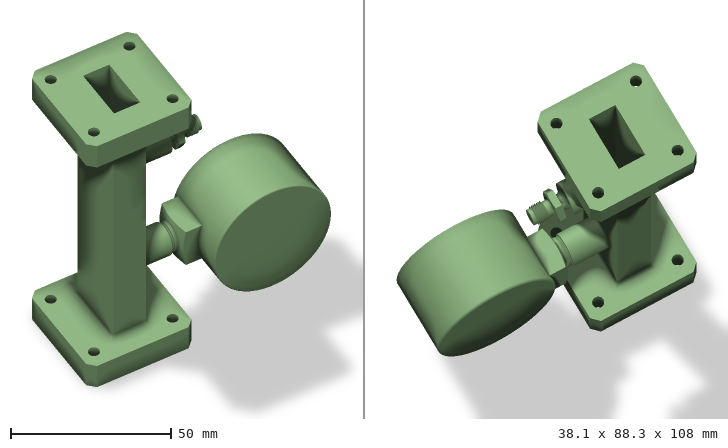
import cadquery as cq
import math


total_length = 108.0
flange_width = 38.1
flange_thickness = 9.5
flange_corner_cut = 2.5
bolt_spacing_x = 26.5
bolt_spacing_y = 28.5
bolt_hole_diameter = 3.8
tube_width = 21.6
tube_depth = 12.0
bore_width = 19.0
bore_depth = 9.5
flange_fillet = 1.1

stub_height = 22.9
stub_diameter = 11.3
stub_end_y = 18.7
stub_fillet = 0.6

valve_diameter = 5.4
valve_tip_y = 31.1
valve_thread_diameter = 6.5
valve_thread_pitch = 0.59
tip_thread_start_y = 25.8
tip_thread_turns = 7
foot_thread_turns = 2
nut_start_y = 21.3
nut_thickness = 2.5
nut_across_flats = 9.7
nut_across_corners = nut_across_flats / math.cos(math.radians(30))
nut_chamfer = 0.3

case_diameter = 42.2
case_center_y = 48.1
case_back_x = -9.4
case_back_fillet = 0.9
bezel_start_x = 15.0
bezel_thickness = 2.5
bezel_fillet = 0.4
block_width = 14.7
block_cone_angle = 17.0
neck_diameter = 10.4
neck_start_y = 20.9
neck_fillet = 0.4
neck_thread_end_y = 20.0
neck_thread_turns = 2
neck_thread_pitch = (neck_thread_end_y - stub_end_y) / neck_thread_turns
neck_thread_root_diameter = 9.7

pick_margin = 0.1


def centered_bar(width, depth, length):
    """Rectangular bar along Z, centred on the origin."""
    return cq.Workplane("XY").box(width, depth, length)


def thread_points(start_y, pitch, turns, root_radius, crest_radius):
    """Zigzag outline of ring-shaped thread ridges, listed towards +Y."""
    points = [(root_radius, start_y)]
    for turn in range(turns):
        points.append((crest_radius, start_y + (turn + 0.5) * pitch))
        points.append((root_radius, start_y + (turn + 1) * pitch))
    return points


def turned(outline):
    """Solid of revolution about Y from an outline of (radius, y) points."""
    axis_points = [(0, outline[-1][1]), (0, outline[0][1])]
    profile = cq.Workplane("XY").polyline(outline + axis_points).close()
    return profile.revolve(360, (0, 0), (0, 1))


def make_waveguide():
    flange_offset = (total_length - flange_thickness) / 2
    body = centered_bar(tube_width, tube_depth, total_length)

    flange = centered_bar(flange_width, flange_width, flange_thickness)
    flange = flange.edges("|Z").chamfer(flange_corner_cut)
    flange = (
        flange.faces(">Z").workplane()
        .rect(bolt_spacing_x, bolt_spacing_y, forConstruction=True)
        .vertices().hole(bolt_hole_diameter)
    )
    for side in (-1, 1):
        body = body.union(flange.translate((0, 0, side * flange_offset)))

    inner_face_z = total_length / 2 - flange_thickness
    half_width = tube_width / 2
    half_depth = tube_depth / 2
    for z in (-inner_face_z, inner_face_z):
        joint = cq.selectors.BoxSelector(
            (-half_width - pick_margin, -half_depth - pick_margin, z - pick_margin),
            (half_width + pick_margin, half_depth + pick_margin, z + pick_margin),
        )
        body = body.edges(joint).fillet(flange_fillet)

    stub_radius = stub_diameter / 2
    for z in (-stub_height, stub_height):
        stub = turned([(stub_radius, 0), (stub_radius, stub_end_y)])
        body = body.union(stub.translate((0, 0, z)))
        joint = cq.selectors.BoxSelector(
            (-stub_radius - pick_margin, half_depth - pick_margin, z - stub_radius - pick_margin),
            (stub_radius + pick_margin, half_depth + pick_margin, z + stub_radius + pick_margin),
        )
        body = body.edges(joint).fillet(stub_fillet)

    return body.cut(centered_bar(bore_width, bore_depth, total_length))


def make_valve_nut():
    """Hexagon along Y, with the corners of its outer end turned off."""
    nut_end_y = nut_start_y + nut_thickness
    hexagon = (
        cq.Workplane("XZ", origin=(0, nut_end_y, 0))
        .polygon(6, nut_across_corners).extrude(nut_thickness)
    )
    corner_radius = nut_across_corners / 2
    corner_turning = turned([
        (corner_radius, nut_start_y),
        (corner_radius, nut_end_y - nut_chamfer),
        (nut_across_flats / 2, nut_end_y),
    ])
    return hexagon.intersect(corner_turning)


def make_valve():
    stem_radius = valve_diameter / 2
    crest_radius = valve_thread_diameter / 2
    outline = thread_points(stub_end_y, valve_thread_pitch, foot_thread_turns, stem_radius, crest_radius)
    outline += thread_points(
        tip_thread_start_y, valve_thread_pitch, tip_thread_turns, stem_radius, crest_radius
    )
    outline.append((stem_radius, valve_tip_y))
    valve = turned(outline).union(make_valve_nut())
    return valve.translate((0, 0, stub_height))


def gauge_disc(start_x, thickness):
    """Disc on the axis of the gauge case."""
    return (
        cq.Workplane("YZ", origin=(start_x, case_center_y, 0))
        .circle(case_diameter / 2).extrude(thickness)
    )


def make_gauge():
    case = gauge_disc(case_back_x, bezel_start_x - case_back_x)
    case = case.faces("<X").edges().fillet(case_back_fillet)

    neck_radius = neck_diameter / 2
    corner_radius = block_width / math.sqrt(2)
    cone_end_y = neck_start_y + (corner_radius - neck_radius) * math.tan(math.radians(block_cone_angle))
    outline = thread_points(
        stub_end_y, neck_thread_pitch, neck_thread_turns, neck_thread_root_diameter / 2, neck_radius
    )
    outline += [
        (neck_radius, neck_thread_end_y),
        (neck_radius, neck_start_y),
        (corner_radius, cone_end_y),
        (corner_radius, case_center_y),
    ]
    core = turned(outline)
    root = cq.selectors.BoxSelector(
        (-neck_radius - pick_margin, neck_start_y - pick_margin, -neck_radius - pick_margin),
        (neck_radius + pick_margin, neck_start_y + pick_margin, neck_radius + pick_margin),
    )
    core = core.edges(root).fillet(neck_fillet)

    block_bar = cq.Workplane("XZ").rect(block_width, block_width).extrude(-case_center_y)
    gauge = case.union(core.intersect(block_bar))
    return gauge.translate((0, 0, -stub_height))


def make_bezel():
    bezel = gauge_disc(bezel_start_x, bezel_thickness)
    bezel = bezel.faces(">X").edges().fillet(bezel_fillet)
    return bezel.translate((0, 0, -stub_height))


waveguide = make_waveguide()
valve = make_valve()
gauge = make_gauge()
bezel = make_bezel()

result = cq.Compound.makeCompound([waveguide.val(), valve.val(), gauge.val(), bezel.val()])